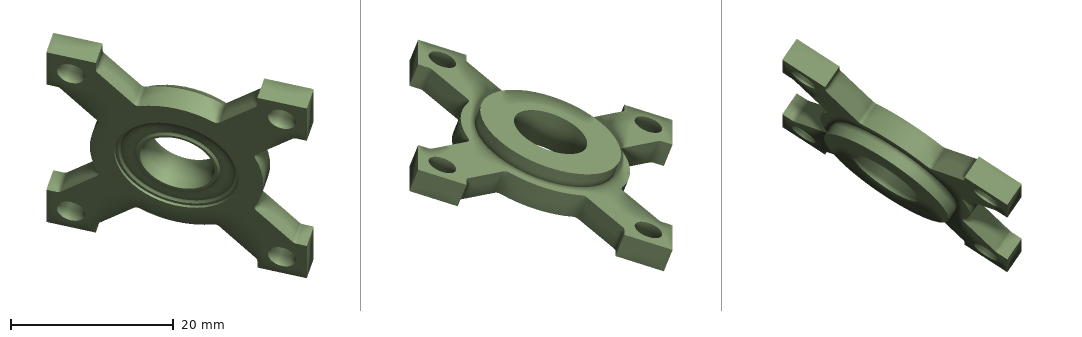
import cadquery as cq
import math

span = 33.27
plate_thickness = 3.2
total_depth = 5.1

hub_radius = 11.08
boss_radius = 9.2

pad_size = 6.32
hole_diameter = 3.6
arm_width = 6.65
root_fillet = 0.65
pad_fillet = 0.65

seat_radius = 7.92
seat_depth = 0.35
groove_outer_radius = 7.52
groove_inner_radius = 5.15
groove_depth = 0.3
groove_wall_run = 0.23
bore_radius = 4.8

pad_center = (span - pad_size) / 2
pad_centers = [(x, z) for x in (-pad_center, pad_center) for z in (-pad_center, pad_center)]


def cylinder(radius, start, end):
    """Cylinder about the Y axis between two Y positions."""
    return cq.Workplane("XZ", origin=(0, start, 0)).circle(radius).extrude(start - end)


def make_plate():
    """Round hub with four diagonal arms ending in square pads."""
    plate = cylinder(hub_radius, 0, plate_thickness)
    arm_length = 2 * math.hypot(pad_center, pad_center)
    for angle in (45, -45):
        arm = cq.Workplane("XY").box(arm_length, plate_thickness, arm_width)
        arm = arm.translate((0, plate_thickness / 2, 0))
        plate = plate.union(arm.rotate((0, 0, 0), (0, 1, 0), angle))
    pads = cq.Workplane("XZ").pushPoints(pad_centers).rect(pad_size, pad_size).extrude(-plate_thickness)
    return plate.union(pads)


def round_corners(plate, x, z, radius):
    """Fillet the eight plate corners that mirror (x, z) about the axes and the diagonals."""
    margin = 0.15
    corners = []
    for corner_x, corner_z in ((x, z), (z, x)):
        for x_side in (-1, 1):
            for z_side in (-1, 1):
                center_x = x_side * corner_x
                center_z = z_side * corner_z
                low = (center_x - margin, -margin, center_z - margin)
                high = (center_x + margin, plate_thickness + margin, center_z + margin)
                corners += plate.edges("|Y").edges(cq.selectors.BoxSelector(low, high)).vals()
    return plate.newObject(corners).fillet(radius)


def round_arm_ends(plate):
    """Fillet the inside corners where the arms meet the hub and the pads."""
    half_width = arm_width / 2
    along = math.sqrt(hub_radius**2 - half_width**2)
    root_x = (along - half_width) / math.sqrt(2)
    root_z = (along + half_width) / math.sqrt(2)
    plate = round_corners(plate, root_x, root_z, root_fillet)

    pad_x = span / 2 - pad_size
    pad_z = pad_x + arm_width / math.sqrt(2)
    return round_corners(plate, pad_x, pad_z, pad_fillet)


def make_bearing_recess():
    """Recess revolved about Y: a flat seat with a groove narrowing towards its floor."""
    floor = seat_depth + groove_depth
    profile = [
        (0, 0),
        (seat_radius, 0),
        (seat_radius, seat_depth),
        (groove_outer_radius, seat_depth),
        (groove_outer_radius - groove_wall_run, floor),
        (groove_inner_radius + groove_wall_run, floor),
        (groove_inner_radius, seat_depth),
        (0, seat_depth),
    ]
    return cq.Workplane("XY").polyline(profile).close().revolve(360, (0, 0, 0), (0, 1, 0))


pad_holes = cq.Workplane("XZ").pushPoints(pad_centers).circle(hole_diameter / 2).extrude(-plate_thickness)

result = round_arm_ends(make_plate())
result = result.union(cylinder(boss_radius, plate_thickness, total_depth))
result = result.cut(pad_holes)
result = result.cut(make_bearing_recess())
result = result.cut(cylinder(bore_radius, 0, total_depth))